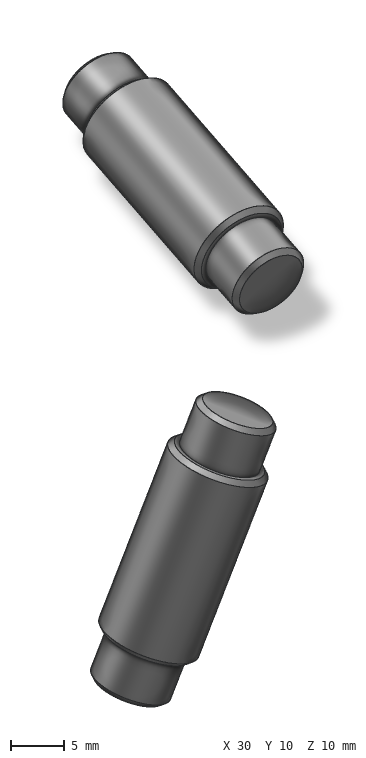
import cadquery as cq

total_length = 30.0
body_diameter = total_length / 3
body_length = 2 * body_diameter
journal_diameter = 0.8 * body_diameter
chamfer_size = body_diameter / 20


def chamfered_cylinder(diameter, length):
    """Cylinder along X, centred on the origin, with both end rims chamfered."""
    return (
        cq.Workplane("YZ", origin=(-length / 2, 0, 0))
        .circle(diameter / 2)
        .extrude(length)
        .faces("<X or >X")
        .chamfer(chamfer_size)
    )


journals = chamfered_cylinder(journal_diameter, total_length)
body = chamfered_cylinder(body_diameter, body_length)

result = body.union(journals)